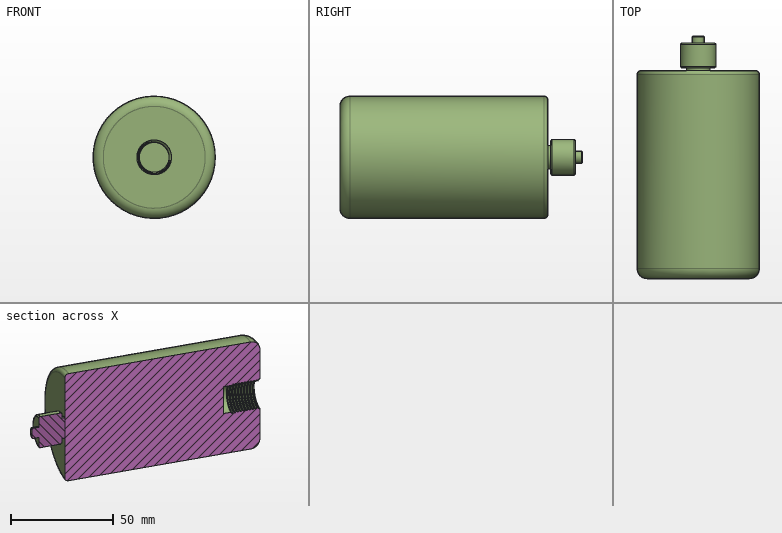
import cadquery as cq

overall_length = 119.0
housing_diameter = 60.0
housing_length = 102.0
front_rounding = 5.0
back_rounding = 2.0

bore_diameter = 14.6
bore_depth = 19.0
lead_in_diameter = 17.0
lead_in_depth = 1.2
thread_major_diameter = 16.0
thread_pitch = 1.5
thread_turns = 11
thread_crest_width = thread_pitch / 4
thread_root_width = thread_pitch / 8
thread_overlap = 0.1

neck_diameter = 11.7
neck_length = 1.3
knob_diameter = 17.6
knob_length = 12.3
knob_chamfer = 0.7
pin_diameter = 6.0
pin_chamfer = 0.5
valve_length = overall_length - housing_length
pin_length = valve_length - neck_length - knob_length


def cylinder_along_y(diameter, start, length):
    """Solid cylinder on the Y axis, running from start towards +Y."""
    return cq.Workplane("XZ", origin=(0, start, 0)).circle(diameter / 2).extrude(-length)


def make_bore():
    """Tool for the bore, with its lead-in chamfer at the front face."""
    bore_radius = bore_diameter / 2
    lead_in_radius = lead_in_diameter / 2
    profile = (
        cq.Workplane("XY")
        .lineTo(lead_in_radius, 0)
        .lineTo(bore_radius, lead_in_depth)
        .lineTo(bore_radius, bore_depth)
        .lineTo(0, bore_depth)
    )
    return profile.close().revolve(360, (0, 0, 0), (0, 1, 0))


def make_thread_groove():
    """Tool for the right-hand helical groove, starting one pitch ahead of the front face.

    The trapezoidal section reaches inside the bore wall, with its flanks extended to match.
    """
    bore_radius = bore_diameter / 2
    major_radius = thread_major_diameter / 2
    inner_radius = bore_radius - thread_overlap
    start = -thread_pitch
    mouth_half_width = (thread_pitch - thread_crest_width) / 2
    root_half_width = thread_root_width / 2
    flank_slope = (mouth_half_width - root_half_width) / (major_radius - bore_radius)
    inner_half_width = mouth_half_width + flank_slope * thread_overlap
    helix = cq.Wire.makeHelix(
        thread_pitch,
        thread_turns * thread_pitch,
        bore_radius,
        center=cq.Vector(0, start, 0),
        dir=cq.Vector(0, 1, 0),
    )
    helix_start = helix.startPoint()
    radial = cq.Vector(helix_start.x, 0, helix_start.z).normalized()
    section_plane = cq.Plane(
        origin=(0, start, 0), xDir=radial, normal=radial.cross(cq.Vector(0, 1, 0))
    )
    section = cq.Workplane(section_plane).polyline([
        (inner_radius, -inner_half_width),
        (major_radius, -root_half_width),
        (major_radius, root_half_width),
        (inner_radius, inner_half_width),
    ])
    return section.close().sweep(cq.Workplane(obj=helix), isFrenet=True)


def make_housing():
    housing = cylinder_along_y(housing_diameter, 0, housing_length)
    housing = housing.faces("<Y").edges().fillet(front_rounding)
    housing = housing.faces(">Y").edges().fillet(back_rounding)
    return housing.cut(make_thread_groove()).cut(make_bore())


def make_valve():
    knob_start = housing_length + neck_length
    neck = cylinder_along_y(neck_diameter, housing_length, neck_length)
    knob = cylinder_along_y(knob_diameter, knob_start, knob_length)
    knob = knob.faces("<Y or >Y").edges().chamfer(knob_chamfer)
    pin = cylinder_along_y(pin_diameter, knob_start + knob_length, pin_length)
    pin = pin.faces(">Y").edges().chamfer(pin_chamfer)
    return neck.union(knob).union(pin)


housing = make_housing()
valve = make_valve()

result = cq.Compound.makeCompound([housing.val(), valve.val()])